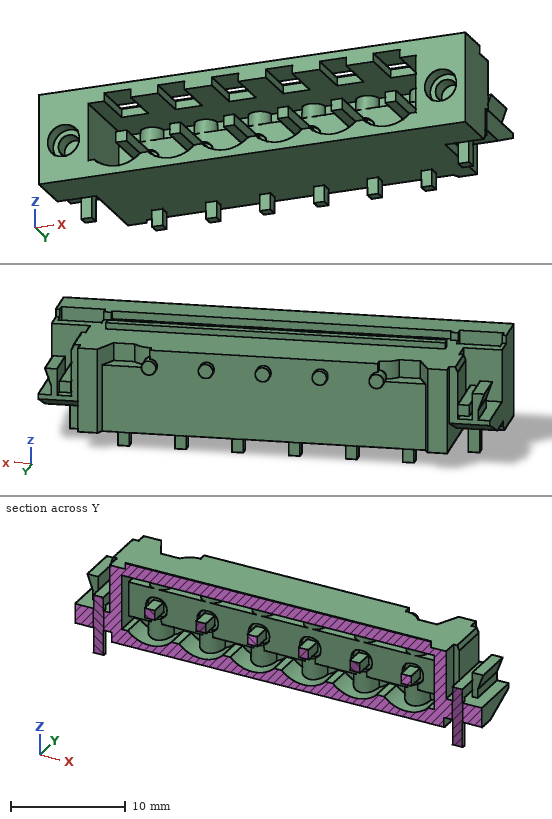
import cadquery as cq
import math


contact_count = 6
pitch = 5.08
pin_size = 1.0
pin_axis_z = 3.8
pin_tip_y = 0.93
tail_y = 9.95
tail_bottom_z = -1.55
first_contact_x = -(contact_count - 1) * pitch / 2
contact_xs = [first_contact_x + i * pitch for i in range(contact_count)]
end_post_x = first_contact_x - pitch

front_width = 40.15
half_width = front_width / 2
front_height = 8.4
deck_z = 7.7
rear_y = 12.0
rear_wall_y = 11.4
front_step_y = 3.5
middle_step_y = 3.15
middle_step_half_width = half_width - 4.95
core_half_width = half_width - 3.63

flange_wall_y = 5.45
flange_floor_z = 2.95
flange_rear_y = 11.05
flange_tip_z = 2.5
flange_knee_y = 7.57
flange_underside_z = 0.95
flange_heel_y = 4.85
heel_drop_z = 0.5
heel_chamfer = 0.4
flange_outline = [
    (flange_rear_y, flange_floor_z),
    (flange_rear_y, flange_tip_z),
    (flange_knee_y, flange_underside_z),
    (flange_heel_y, flange_underside_z),
    (flange_heel_y, heel_drop_z),
]
flange_skin_y = 4.75
flange_skin = 0.12

wall_inset = 3.42
pad_inset = 2.85
pad_front_y = 7.37
pad_chamfer_x = 0.2
pad_chamfer_z = 0.5
rail_outer_inset = 0.5
rail_inner_inset = 1.57
rail_neck_inset = 1.05
rail_top_z = 5.35
rail_neck_z = 3.8

post_rear_y = 11.15

screw_hole_diameter = 3.0
screw_hole_depth = 1.33
screw_end_diameter = 2.0
nut_slot_width = 3.9
nut_slot_front_y = 2.78
nut_slot_rear_y = 4.35
nut_slot_draft = 0.15
nut_slot_floor_z = pin_axis_z - nut_slot_width / 2

cavity_half_width = half_width - 4.65
cavity_floor_z = 1.57
cavity_ceiling_z = 6.93
cavity_rear_y = 8.3
scallop_radius = 3.1
key_slot_width = 2.5
key_slot_depth = 4.15
bar_bottom_z = 2.3
bar_top_z = 5.68
bar_front_y = 7.25
column_bottom_radius = 1.2
column_top_radius = 1.05
pin_recess_diameter = 2.1
pin_recess_depth = 0.4

rib_front_y = 5.25
rib_rear_y = 6.1
rib_top_z = 8.25
rib_half_width = middle_step_half_width

ear_tip_x = half_width - 5.35
pocket_outer_x = half_width - 6.4
pocket_inner_x = half_width - 8.3
pocket_front_y = 9.9
pocket_depth = 1.6
pocket_arc_x = 2 * pitch
pocket_arc_y = 10.7
boss_radius = 0.65
boss_axis_z = deck_z - 1.45
boss_front_y = 10.67


def box(x0, x1, y0, y1, z0, z1):
    return cq.Workplane("XY").box(x1 - x0, y1 - y0, z1 - z0, centered=False).translate((x0, y0, z0))


def side_prism(points, x0, x1):
    """Extrude a (y, z) outline from x0 to x1."""
    return cq.Workplane("YZ", origin=(x0, 0, 0)).polyline(points).close().extrude(x1 - x0)


def y_cylinder(x, z, diameter, y0, y1):
    return cq.Workplane("XZ", origin=(x, y0, z)).circle(diameter / 2).extrude(y0 - y1)


def both_ends(left_shape):
    return left_shape.union(left_shape.mirror("YZ"))


def angled_pin(x, horizontal_y, vertical_y):
    """Square L-shaped pin: a horizontal arm between two Y values and a leg centred on vertical_y."""
    half = pin_size / 2
    arm = box(x - half, x + half, *horizontal_y, pin_axis_z - half, pin_axis_z + half)
    leg = box(x - half, x + half, vertical_y - half, vertical_y + half, tail_bottom_z, pin_axis_z + half)
    return arm.union(leg)


def contact(x):
    return angled_pin(x, (pin_tip_y, tail_y + pin_size / 2), tail_y)


def solder_post(x):
    return angled_pin(x, (flange_wall_y, post_rear_y), flange_wall_y + pin_size / 2)


def housing_shell():
    """Front block with flange profile over the whole width, plus the taller core behind it."""
    profile = [
        (0, 0),
        (0, front_height),
        (front_step_y, front_height),
        (front_step_y, deck_z),
        (flange_wall_y, deck_z),
        (flange_wall_y, flange_floor_z),
        *flange_outline,
        (flange_heel_y - heel_chamfer, 0),
    ]
    shell = side_prism(profile, -half_width, half_width)
    core = box(-core_half_width, core_half_width, front_step_y, rear_y, 0, deck_z)
    middle_step = box(
        -middle_step_half_width, middle_step_half_width, middle_step_y, front_step_y, deck_z, front_height
    )
    return shell.union(core).cut(middle_step)


def flange_end_skin():
    """Thin extra layer on the +X end of the flange."""
    outline = [
        (flange_skin_y, flange_floor_z),
        *flange_outline,
        (flange_skin_y, heel_drop_z),
    ]
    return side_prism(outline, half_width, half_width + flange_skin)


def side_walls():
    wall = box(
        wall_inset - half_width, -core_half_width, flange_wall_y, pad_front_y, flange_floor_z, deck_z
    )
    pad_x = pad_inset - half_width
    pad_outline = [
        (pad_x, flange_floor_z),
        (pad_x, deck_z - pad_chamfer_z),
        (pad_x + pad_chamfer_x, deck_z),
        (-core_half_width, deck_z),
        (-core_half_width, flange_floor_z),
    ]
    pad = cq.Workplane("XZ", origin=(0, pad_front_y, 0)).polyline(pad_outline).close()
    return both_ends(wall.union(pad.extrude(pad_front_y - flange_rear_y)))


def rails():
    """Rails on the flange floor with an overhanging, tapered outer side."""
    outline = [
        (rail_neck_inset - half_width, flange_floor_z),
        (rail_neck_inset - half_width, rail_neck_z),
        (rail_outer_inset - half_width, rail_top_z),
        (rail_inner_inset - half_width, rail_top_z),
        (rail_inner_inset - half_width, flange_floor_z),
    ]
    sketch = cq.Workplane("XZ", origin=(0, pad_front_y, 0)).polyline(outline).close()
    return both_ends(sketch.extrude(pad_front_y - flange_rear_y))


def deck_rib():
    return box(-rib_half_width, rib_half_width, rib_front_y, rib_rear_y, deck_z, rib_top_z)


def screw_mounts():
    """Stepped screw holes, each ending in a nut slot that is open at the top and narrows downward."""
    hole = y_cylinder(end_post_x, pin_axis_z, screw_hole_diameter, 0, screw_hole_depth)
    hole_end = y_cylinder(end_post_x, pin_axis_z, screw_end_diameter, screw_hole_depth, nut_slot_front_y)
    slot_outline = [
        (nut_slot_front_y, nut_slot_floor_z),
        (nut_slot_front_y, front_height),
        (nut_slot_rear_y, front_height),
        (nut_slot_rear_y, deck_z),
        (nut_slot_rear_y - nut_slot_draft, nut_slot_floor_z),
    ]
    slot_x = end_post_x - nut_slot_width / 2
    slot = side_prism(slot_outline, slot_x, slot_x + nut_slot_width)
    return both_ends(hole.union(hole_end).union(slot))


def mating_cavity():
    """Open cavity with a scallop and a key slot for each contact."""
    cavity = box(
        -cavity_half_width, cavity_half_width, 0, cavity_rear_y, cavity_floor_z, cavity_ceiling_z
    )
    within_ends = box(-cavity_half_width, cavity_half_width, 0, cavity_rear_y, 0, cavity_ceiling_z)
    for x in contact_xs:
        scallop = y_cylinder(x, pin_axis_z, 2 * scallop_radius, 0, cavity_rear_y)
        below_axis = box(
            x - scallop_radius, x + scallop_radius, 0, cavity_rear_y, pin_axis_z - scallop_radius, pin_axis_z
        )
        key_slot = box(
            x - key_slot_width / 2, x + key_slot_width / 2, 0, key_slot_depth, cavity_ceiling_z, deck_z
        )
        cavity = cavity.union(scallop.intersect(below_axis).intersect(within_ends)).union(key_slot)
    return cavity


def contact_support():
    """Bar across the rear of the cavity, with a tapered column and a round recess at each contact."""
    support = box(
        -cavity_half_width, cavity_half_width, bar_front_y, cavity_rear_y, bar_bottom_z, bar_top_z
    )
    column_bottom_z = pin_axis_z - scallop_radius
    column_height = cavity_ceiling_z - column_bottom_z
    for x in contact_xs:
        column = cq.Solid.makeCone(
            column_bottom_radius,
            column_top_radius,
            column_height,
            cq.Vector(x, cavity_rear_y, column_bottom_z),
        )
        support = support.union(cq.Workplane(column))
    for x in contact_xs:
        recess_front_y = cavity_rear_y - column_bottom_radius
        recess_rear_y = bar_front_y + pin_recess_depth
        support = support.cut(y_cylinder(x, pin_axis_z, pin_recess_diameter, recess_front_y, recess_rear_y))
    return support


def rear_recess():
    """Space behind the rear wall, between the sloping inner sides of the two ears."""
    slope = (ear_tip_x - pocket_outer_x) / (rear_y - pocket_front_y)
    wall_x = ear_tip_x - slope * (rear_y - rear_wall_y)
    outline = [(-ear_tip_x, rear_y), (-wall_x, rear_wall_y), (wall_x, rear_wall_y), (ear_tip_x, rear_y)]
    return cq.Workplane("XY").polyline(outline).close().extrude(deck_z)


def rear_pockets():
    """Shallow corner pockets beside the ears, each ending in an arc tangent to the X direction."""
    run = pocket_inner_x - pocket_arc_x
    rise = pocket_arc_y - pocket_front_y
    radius = (run**2 + rise**2) / (2 * rise)
    half_angle = math.asin(run / radius) / 2
    arc_middle = (
        -pocket_arc_x - radius * math.sin(half_angle),
        pocket_arc_y - radius * (1 - math.cos(half_angle)),
    )
    pocket = (
        cq.Workplane("XY", origin=(0, 0, deck_z))
        .moveTo(-ear_tip_x, rear_y)
        .lineTo(-pocket_outer_x, pocket_front_y)
        .lineTo(-pocket_inner_x, pocket_front_y)
        .threePointArc(arc_middle, (-pocket_arc_x, pocket_arc_y))
        .lineTo(-pocket_arc_x, rear_y)
        .close()
        .extrude(-pocket_depth)
    )
    return both_ends(pocket)


def add_rear_bosses(body):
    """Round bosses on the rear wall, midway between neighbouring contacts."""
    for x in contact_xs[:-1]:
        body = body.union(y_cylinder(x + pitch / 2, boss_axis_z, 2 * boss_radius, boss_front_y, rear_y))
    return body


contacts = [contact(x) for x in contact_xs]
solder_posts = [solder_post(x) for x in (end_post_x, -end_post_x)]

housing = housing_shell().union(flange_end_skin()).union(side_walls()).union(rails()).union(deck_rib())
housing = housing.cut(screw_mounts())
housing = housing.cut(mating_cavity()).union(contact_support())
housing = add_rear_bosses(housing.cut(rear_recess()).cut(rear_pockets()))
for pin in contacts + solder_posts:
    housing = housing.cut(pin)

contact_solids = [pin.solids().val() for pin in contacts]
solder_post_solids = [post.solids().val() for post in solder_posts]
result = cq.Compound.makeCompound([housing.solids().val(), *contact_solids, *solder_post_solids])